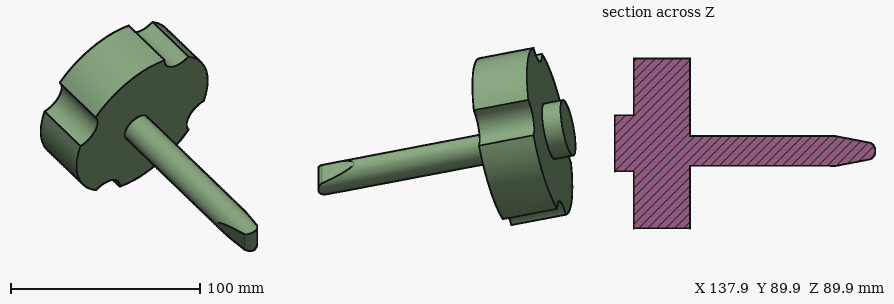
import cadquery as cq
import math

total_length = 137.9

boss_diameter = 29.9
boss_length = 10.0
wheel_diameter = 89.9
wheel_thickness = 29.9
wheel_end = boss_length + wheel_thickness

notch_count = 4
notch_radius = 11.0
notch_center_distance = 49.2
first_notch_angle = 57.6

shaft_diameter = 16.0
shaft_radius = shaft_diameter / 2
shaft_offset_y = -4.0
taper_start = 116.5
taper_end = 135.2
tip_half_thickness = 4.4


def cylinder_along_x(start, length, diameter):
    return cq.Workplane("YZ").workplane(offset=start).circle(diameter / 2).extrude(length)


def make_notched_wheel():
    wheel = cylinder_along_x(boss_length, wheel_thickness, wheel_diameter)
    for index in range(notch_count):
        angle = math.radians(first_notch_angle + index * 360 / notch_count)
        center_y = notch_center_distance * math.cos(angle)
        center_z = notch_center_distance * math.sin(angle)
        notch = cylinder_along_x(boss_length, wheel_thickness, 2 * notch_radius)
        wheel = wheel.cut(notch.translate((0, center_y, center_z)))
    return wheel


def make_shaft():
    shaft = cylinder_along_x(wheel_end, total_length - wheel_end, shaft_diameter)
    profile = (
        cq.Workplane("XY")
        .moveTo(wheel_end, -shaft_radius)
        .lineTo(taper_start, -shaft_radius)
        .lineTo(taper_end, -tip_half_thickness)
        .threePointArc((total_length, 0), (taper_end, tip_half_thickness))
        .lineTo(taper_start, shaft_radius)
        .lineTo(wheel_end, shaft_radius)
        .close()
        .extrude(shaft_radius, both=True)
    )
    return shaft.intersect(profile).translate((0, shaft_offset_y, 0))


boss = cylinder_along_x(0, boss_length, boss_diameter)
result = boss.union(make_notched_wheel()).union(make_shaft())